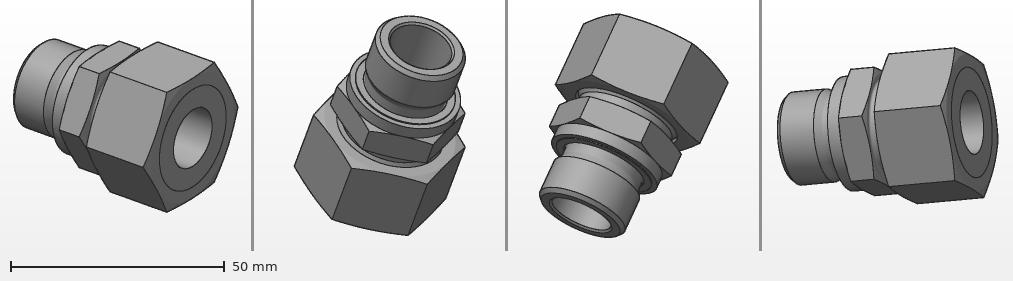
import cadquery as cq
import math


total_length = 45.0
undercut_start = 11.75
undercut_end = 13.85
collar_start = 14.0
hexagon_start = 17.0
hexagon_end = 24.0
nut_start = 27.05

thread_radius = 11.0
undercut_radius = 9.85
tip_radius = 10.1
tip_chamfer_length = 1.05
runout_angle = math.radians(30)
runout_fillet = 1.2
collar_radius = 13.5

bore_radius = 7.5
bore_chamfer = 0.5

seal_outer_radius = 12.15
seal_inner_radius = 10.25
seal_thickness = 1.5
seal_protrusion = 0.3
seal_start = collar_start - seal_protrusion
seal_end = seal_start + seal_thickness

neck_radius = 11.9
neck_fillet = 0.55
nut_thread_radius = 13.0
neck_end = 26.6
nut_thread_start = neck_end + (nut_thread_radius - neck_radius) / math.tan(runout_angle)

hexagon_sides = 6
body_across_flats = 2 * collar_radius
nut_across_flats = 32.0
hexagon_chamfer_angle = math.radians(15)


def revolve_about_x(outline):
    """Turn a closed (x, radius) outline about the X axis."""
    return outline.close().revolve(360, (0, 0, 0), (1, 0, 0))


def chamfered_hexagon(start, end, across_flats):
    """Hexagonal prism along X, corners on +Y and -Y, with both ends turned to a shallow cone."""
    flat_radius = across_flats / 2
    corner_radius = flat_radius / math.cos(math.pi / hexagon_sides)
    corner_setback = (corner_radius - flat_radius) * math.tan(hexagon_chamfer_angle)
    prism = (
        cq.Workplane("YZ", origin=(start, 0, 0))
        .polygon(hexagon_sides, 2 * corner_radius)
        .extrude(end - start)
    )
    turned_envelope = revolve_about_x(
        cq.Workplane("XY")
        .moveTo(start, 0)
        .lineTo(start, flat_radius)
        .lineTo(start + corner_setback, corner_radius)
        .lineTo(end - corner_setback, corner_radius)
        .lineTo(end, flat_radius)
        .lineTo(end, 0)
    )
    return prism.intersect(turned_envelope)


def make_stud():
    """Threaded stud with a chamfered tip, a thread runout, an undercut and the collar."""
    arc_start_x = undercut_start - runout_fillet * math.sin(runout_angle)
    arc_start_radius = undercut_radius + runout_fillet * (1 - math.cos(runout_angle))
    thread_end = arc_start_x - (thread_radius - arc_start_radius) / math.tan(runout_angle)
    arc_middle_x = undercut_start - runout_fillet * math.sin(runout_angle / 2)
    arc_middle_radius = undercut_radius + runout_fillet * (1 - math.cos(runout_angle / 2))
    root_fillet = seal_inner_radius - undercut_radius
    root_end = undercut_end + root_fillet
    root_arc_middle_x = undercut_end + root_fillet * math.sqrt(0.5)
    root_arc_middle_radius = undercut_radius + root_fillet * (1 - math.sqrt(0.5))
    return revolve_about_x(
        cq.Workplane("XY")
        .moveTo(0, 0)
        .lineTo(0, tip_radius)
        .lineTo(tip_chamfer_length, thread_radius)
        .lineTo(thread_end, thread_radius)
        .lineTo(arc_start_x, arc_start_radius)
        .threePointArc((arc_middle_x, arc_middle_radius), (undercut_start, undercut_radius))
        .lineTo(undercut_end, undercut_radius)
        .threePointArc((root_arc_middle_x, root_arc_middle_radius), (root_end, seal_inner_radius))
        .lineTo(seal_end, seal_inner_radius)
        .lineTo(seal_end, seal_outer_radius)
        .lineTo(collar_start, seal_outer_radius)
        .lineTo(collar_start, collar_radius)
        .lineTo(hexagon_start, collar_radius)
        .lineTo(hexagon_start, 0)
    )


def make_neck():
    """Neck with a root fillet against the hexagon, rising to the cylinder inside the nut."""
    arc_middle_offset = neck_fillet * (1 - math.sqrt(0.5))
    return revolve_about_x(
        cq.Workplane("XY")
        .moveTo(hexagon_end, 0)
        .lineTo(hexagon_end, neck_radius + neck_fillet)
        .threePointArc(
            (hexagon_end + arc_middle_offset, neck_radius + arc_middle_offset),
            (hexagon_end + neck_fillet, neck_radius),
        )
        .lineTo(neck_end, neck_radius)
        .lineTo(nut_thread_start, nut_thread_radius)
        .lineTo(total_length, nut_thread_radius)
        .lineTo(total_length, 0)
    )


def make_bore():
    """Through bore with a chamfered mouth at the stud tip."""
    return revolve_about_x(
        cq.Workplane("XY")
        .moveTo(0, 0)
        .lineTo(0, bore_radius + bore_chamfer)
        .lineTo(bore_chamfer, bore_radius)
        .lineTo(total_length, bore_radius)
        .lineTo(total_length, 0)
    )


def make_body():
    hexagon = chamfered_hexagon(hexagon_start, hexagon_end, body_across_flats)
    return make_stud().union(hexagon).union(make_neck()).cut(make_bore())


def make_seal():
    """Flat ring in the collar recess, standing slightly proud of the collar face."""
    return (
        cq.Workplane("YZ", origin=(seal_start, 0, 0))
        .circle(seal_outer_radius)
        .circle(seal_inner_radius)
        .extrude(seal_thickness)
    )


def make_nut():
    """Hexagon nut with a through hole that fits the end of the body."""
    hole = (
        cq.Workplane("YZ", origin=(nut_start, 0, 0))
        .circle(nut_thread_radius)
        .extrude(total_length - nut_start)
    )
    return chamfered_hexagon(nut_start, total_length, nut_across_flats).cut(hole)


body = make_body()
seal = make_seal()
nut = make_nut()

result = cq.Compound.makeCompound([body.solids().val(), seal.solids().val(), nut.solids().val()])